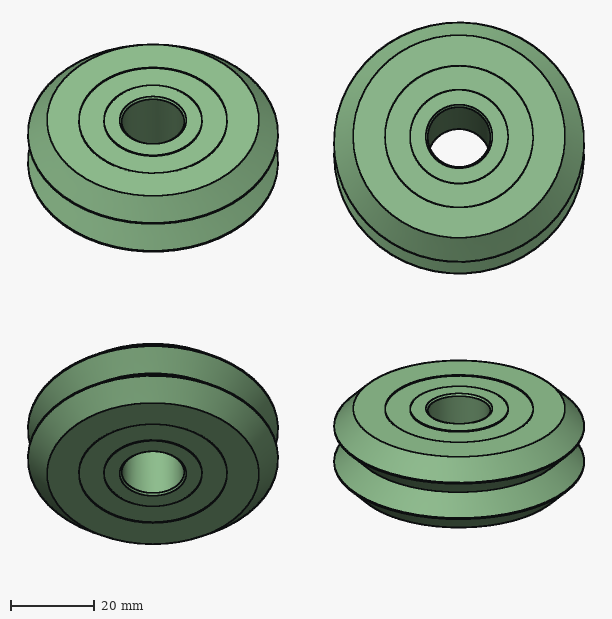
import cadquery as cq

outer_diameter = 59.95
wheel_height = 19.05
ridge_count = 2
rim_land = 0.35

bore_diameter = 15.0
bore_chamfer = 0.5
ring_inner_diameter = 23.5
ring_outer_diameter = 35.5
ring_recess_depth = 0.3

outer_radius = outer_diameter / 2
ridge_height = wheel_height / ridge_count
flank = (ridge_height - rim_land) / 2
root_radius = outer_radius - flank


def ridge(base_z):
    """Solid disc whose rim is one symmetric ridge, standing on base_z."""
    return (
        cq.Workplane("XZ", origin=(0, 0, base_z))
        .moveTo(0, 0)
        .lineTo(root_radius, 0)
        .lineTo(outer_radius, flank)
        .lineTo(outer_radius, flank + rim_land)
        .lineTo(root_radius, ridge_height)
        .lineTo(0, ridge_height)
        .close()
        .revolve(360, (0, 0, 0), (0, 1, 0))
    )


def face_recess(base_z):
    """Shallow ring between the inner and outer bearing races."""
    return (
        cq.Workplane("XY", origin=(0, 0, base_z))
        .circle(ring_outer_diameter / 2)
        .circle(ring_inner_diameter / 2)
        .extrude(ring_recess_depth)
    )


def chamfered_bore():
    """Through bore, widened by a 45 degree chamfer at each end."""
    bore_radius = bore_diameter / 2
    mouth_radius = bore_radius + bore_chamfer
    half_height = wheel_height / 2
    return (
        cq.Workplane("XZ")
        .moveTo(0, -half_height)
        .lineTo(mouth_radius, -half_height)
        .lineTo(bore_radius, -half_height + bore_chamfer)
        .lineTo(bore_radius, half_height - bore_chamfer)
        .lineTo(mouth_radius, half_height)
        .lineTo(0, half_height)
        .close()
        .revolve(360, (0, 0, 0), (0, 1, 0))
    )


bottom_z = -wheel_height / 2
top_z = wheel_height / 2
wheel = ridge(bottom_z)
for index in range(1, ridge_count):
    wheel = wheel.union(ridge(bottom_z + index * ridge_height))

for recess_z in (bottom_z, top_z - ring_recess_depth):
    wheel = wheel.cut(face_recess(recess_z))

result = wheel.cut(chamfered_bore())